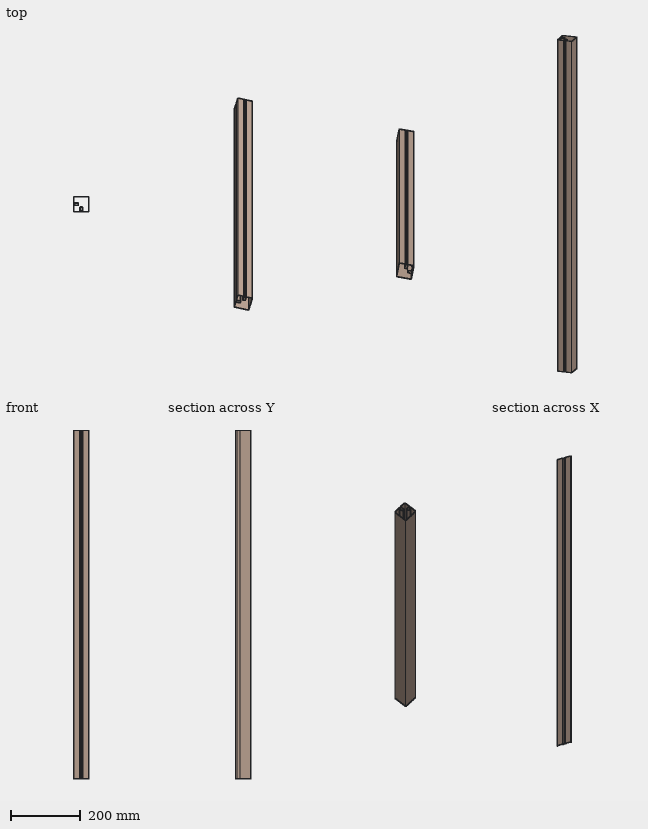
import cadquery as cq

SIDE = 45.0
LENGTH = 1000.0
WALL = 2.0
CORNER_RADIUS = 4.0

MOUTH_WIDTH = 2.0
LIP_RADIUS = 1.0
LIP_DEPTH = 4.0
CAVITY_WIDTH = 5.0
CAVITY_CORNER_RADIUS = 1.0
CHANNEL_DEPTH = 15.0

HALF_SIDE = SIDE / 2
INNER_SIDE = SIDE - 2 * WALL
CAVITY_END = CHANNEL_DEPTH - WALL
CHANNEL_WIDTH = CAVITY_WIDTH + 2 * WALL
CHANNEL_CORNER_RADIUS = CAVITY_CORNER_RADIUS + WALL

CHANNEL_ANGLES = (0, -90)


def square_tube():
    """Hollow square tube with rounded outer edges and a square bore."""
    outer = cq.Workplane("XY").rect(SIDE, SIDE).extrude(LENGTH)
    outer = outer.edges("|Z").fillet(CORNER_RADIUS)
    bore = cq.Workplane("XY").rect(INNER_SIDE, INNER_SIDE).extrude(LENGTH)
    return outer.cut(bore)


def wall_block(width, start_depth, end_depth):
    """Full-length block centred on the -Y wall, between two depths below its outer face."""
    block = cq.Workplane("XY").rect(width, end_depth - start_depth).extrude(LENGTH)
    return block.translate((0, -HALF_SIDE + (start_depth + end_depth) / 2, 0))


def channel_body():
    """Material around the channel, rounded on its inner edges."""
    return wall_block(CHANNEL_WIDTH, WALL / 2, CHANNEL_DEPTH).edges("|Z and >Y").fillet(CHANNEL_CORNER_RADIUS)


def channel_void():
    """Space inside the channel: cavity, mouth and the flare left by the rounded lips."""
    cavity = wall_block(CAVITY_WIDTH, LIP_DEPTH, CAVITY_END).edges("|Z").fillet(CAVITY_CORNER_RADIUS)
    mouth = wall_block(MOUTH_WIDTH, 0, (LIP_DEPTH + CAVITY_END) / 2)
    flare = wall_block(MOUTH_WIDTH + 2 * LIP_RADIUS, 0, LIP_RADIUS)
    for side in (-1, 1):
        lip_x = side * (MOUTH_WIDTH / 2 + LIP_RADIUS)
        lip_y = -HALF_SIDE + LIP_RADIUS
        flare = flare.cut(cq.Workplane("XY").center(lip_x, lip_y).circle(LIP_RADIUS).extrude(LENGTH))
    return cavity.union(mouth).union(flare)


def on_wall(shape, angle):
    """Turn a shape built on the -Y wall about the profile axis."""
    return shape.rotate((0, 0, 0), (0, 0, 1), angle)


result = square_tube()
for channel_angle in CHANNEL_ANGLES:
    result = result.union(on_wall(channel_body(), channel_angle))
    result = result.cut(on_wall(channel_void(), channel_angle))